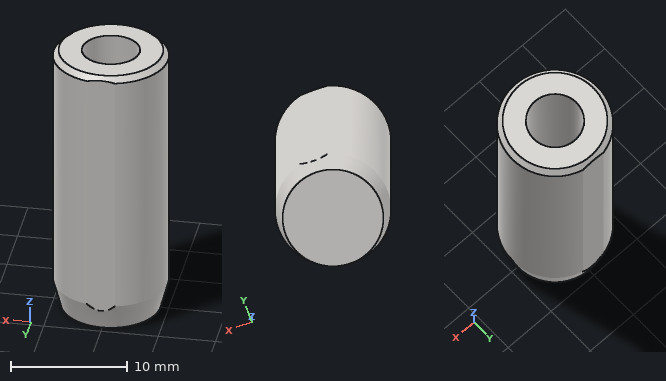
import cadquery as cq
import math

length = 25.0
body_radius = 5.0

top_chamfer = 0.5
lead_in_length = 2.5
lead_in_angle = 15.0
tip_radius = body_radius - lead_in_length * math.tan(math.radians(lead_in_angle))

flat_depth = 0.15
flat_y = body_radius - flat_depth

hole_radius = 2.5
hole_depth = 15.0
drill_point_angle = 120.0
drill_point_height = hole_radius / math.tan(math.radians(drill_point_angle / 2))


def make_body():
    """Pin with a tapered lead-in below and a chamfer on top."""
    profile = [
        (0, 0),
        (tip_radius, 0),
        (body_radius, lead_in_length),
        (body_radius, length - top_chamfer),
        (body_radius - top_chamfer, length),
        (0, length),
    ]
    return cq.Workplane("XZ").polyline(profile).close().revolve(360, (0, 0), (0, 1))


def make_hole():
    """Blind bore ending in a conical drill point."""
    hole_bottom = length - hole_depth
    profile = [
        (0, length),
        (hole_radius, length),
        (hole_radius, hole_bottom),
        (0, hole_bottom - drill_point_height),
    ]
    return cq.Workplane("XZ").polyline(profile).close().revolve(360, (0, 0), (0, 1))


def make_flat_cutter():
    """Block that removes everything beyond the flat."""
    return (
        cq.Workplane("XY")
        .box(2 * body_radius, body_radius, length, centered=(True, False, False))
        .translate((0, flat_y, 0))
    )


result = make_body().cut(make_hole()).cut(make_flat_cutter())